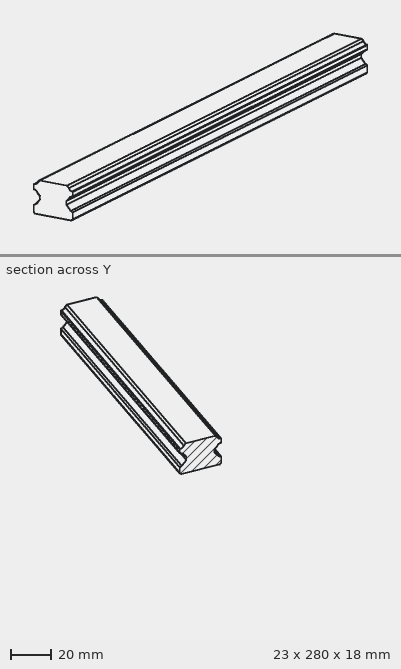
import cadquery as cq

length = 280.0
width = 23.0
height = 18.0

top_width = 16.2
neck_width = 15.7
shoulder_chamfer = 1.0
lip_height = 14.0
lip_thickness = 2.8
lip_chamfer = 0.3
groove_radius = 2.0
neck_top = 9.8
neck_bottom = 7.8
base_height = 4.5
ledge_width = 1.0
ledge_drop = 0.5
base_chamfer = 0.8

plug_diameter = 11.0
plug_depth = 2.8
plug_count = 5
plug_pitch = 60.0

half_width = width / 2
half_top = top_width / 2
half_neck = neck_width / 2

lip_edge = half_width - lip_chamfer
lip_top = lip_height + lip_thickness / 2
lip_bottom = lip_height - lip_thickness / 2

shoulder_x = half_top + shoulder_chamfer
upper_shoulder = height - shoulder_chamfer
lower_shoulder = 2 * lip_height - upper_shoulder


def make_rail():
    """Right half of the section, extruded along Y and mirrored about the YZ plane."""
    half = (
        cq.Workplane("XZ", origin=(0, length / 2, 0))
        .moveTo(0, 0)
        .lineTo(half_width - base_chamfer, 0)
        .lineTo(half_width, base_chamfer)
        .lineTo(half_width, base_height)
        .lineTo(half_width - ledge_width, base_height + ledge_drop)
        .lineTo(half_neck, neck_bottom)
        .lineTo(half_neck, neck_top)
        .lineTo(shoulder_x, lower_shoulder)
        .radiusArc((lip_edge, lip_bottom), groove_radius)
        .lineTo(half_width, lip_bottom + lip_chamfer)
        .lineTo(half_width, lip_top - lip_chamfer)
        .lineTo(lip_edge, lip_top)
        .radiusArc((shoulder_x, upper_shoulder), groove_radius)
        .lineTo(half_top, height)
        .lineTo(0, height)
        .close()
        .extrude(length)
    )
    return half.union(half.mirror("YZ")).clean()


def make_plugs():
    """Row of round plugs centred along the middle of the top face."""
    row_length = (plug_count - 1) * plug_pitch
    centers = [(0, i * plug_pitch - row_length / 2) for i in range(plug_count)]
    return (
        cq.Workplane("XY", origin=(0, 0, height - plug_depth))
        .pushPoints(centers)
        .circle(plug_diameter / 2)
        .extrude(plug_depth)
    )


rail = make_rail()
plugs = make_plugs()

result = rail.cut(plugs).union(plugs, clean=False)